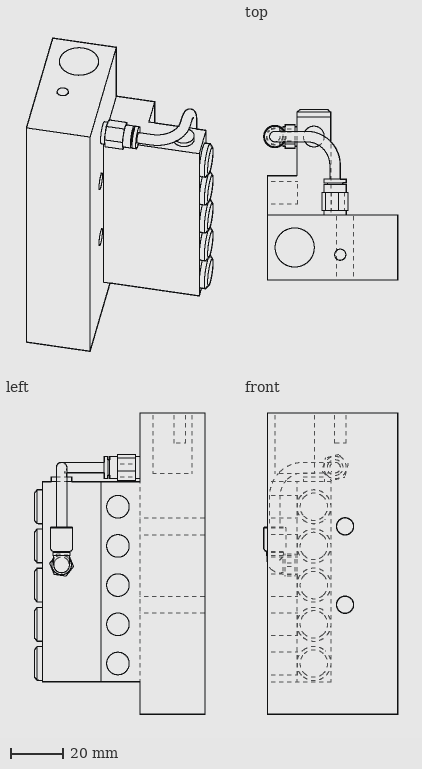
import cadquery as cq
import math

block_width = 50.0
block_depth = 25.0
block_height = 115.5

body_bottom = 12.5
body_top = 89.2
body_height = body_top - body_bottom
step_back = 40.0
body_back = 62.4
rear_left = 11.3
rear_width = 13.0
rear_right = rear_left + rear_width
rear_center = rear_left + rear_width / 2

station_count = 5
station_pitch = 15.0
first_station = 19.5
port_diameter = 8.7
port_depth = 11.5
port_y = 33.4
cap_diameter = rear_width
cap_height = 3.0
cap_face_diameter = 10.5
cap_bevel_height = 1.0

main_port_diameter = 15.0
main_port_depth = 23.1
main_port_x = 10.5
main_port_y = block_depth / 2
pilot_diameter = 4.3
pilot_depth = 11.5
pilot_x = 28.0
pilot_y = 9.7
mount_diameter = 6.5
mount_x = 29.8
mount_low_z = 42.0
mount_pitch = 30.0

tube_diameter = 4.0
bend_radius = 11.0
between_bends = 1.2
tube_x = 26.0
tube_y = 55.0
tube_z = 94.6
drop_x = tube_x - 2 * bend_radius - between_bends
elbow_z = 57.3

straight_diameter = 8.5
groove_diameter = 6.0
nut_start = 1.6
nut_end = 8.7
groove_start = 11.7
groove_end = 12.2
straight_length = 13.7
nut_across_corners = 10.4
nut_angle = 15.0

sleeve_diameter = 8.5
sleeve_top = 71.8
sleeve_bottom = 62.5
sleeve_top_chamfer = 0.3
relief_height = 0.3
neck_diameter = 6.5
neck_height = 1.2
elbow_diameter = 6.0
elbow_bend_radius = 1.8
collar_diameter = 7.5
collar_left = 6.0
elbow_nut_left = 6.8
elbow_nut_right = 10.6
elbow_nut_across_flats = 8.0
elbow_nut_across_corners = elbow_nut_across_flats / math.cos(math.radians(30))
elbow_nut_angle = 8.0

plug_diameter = 8.0
plug_height = 1.8

embed = 0.6

ALONG_X = cq.Vector(1, 0, 0)
ALONG_Y = cq.Vector(0, 1, 0)
ALONG_Z = cq.Vector(0, 0, 1)


def rod(diameter, start, direction, length):
    """Round bar from a start point along a direction."""
    return cq.Workplane(cq.Solid.makeCylinder(diameter / 2, length, cq.Vector(*start), direction))


def hex_bar(across_corners, start, direction, corner_direction, length):
    """Hexagonal bar with one corner pointing along corner_direction."""
    plane = cq.Plane(origin=start, xDir=corner_direction, normal=direction)
    return cq.Workplane(plane).polygon(6, across_corners).extrude(length)


def make_bodies():
    block = cq.Workplane().box(block_width, block_depth, block_height, centered=False)
    outline = [
        (0, block_depth - embed),
        (rear_right, block_depth - embed),
        (rear_right, body_back),
        (rear_left, body_back),
        (rear_left, step_back),
        (0, step_back),
    ]
    body = cq.Workplane().workplane(offset=body_bottom).polyline(outline).close().extrude(body_height)
    return block.union(body)


def make_cap(z):
    bevel_start = body_back + cap_height - cap_bevel_height
    base = rod(cap_diameter, (rear_center, body_back - embed, z), ALONG_Y, bevel_start - body_back + embed)
    bevel = cq.Solid.makeCone(
        cap_diameter / 2,
        cap_face_diameter / 2,
        cap_bevel_height,
        cq.Vector(rear_center, bevel_start, z),
        ALONG_Y,
    )
    return base.union(cq.Workplane(bevel))


def make_straight_fitting():
    def section(diameter, start, end):
        return rod(diameter, (tube_x, block_depth + start, tube_z), ALONG_Y, end - start)

    angle = math.radians(nut_angle)
    nut = hex_bar(
        nut_across_corners,
        (tube_x, block_depth + nut_start, tube_z),
        ALONG_Y,
        (math.cos(angle), 0, math.sin(angle)),
        nut_end - nut_start,
    )
    core = section(groove_diameter, -embed, straight_length)
    inner = section(straight_diameter, -embed, groove_start)
    outer = section(straight_diameter, groove_end, straight_length)
    return core.union(inner).union(outer).union(nut)


def make_tube():
    start_y = block_depth + straight_length - embed
    first_bend_x = tube_x - bend_radius
    second_bend_x = drop_x + bend_radius
    diagonal = bend_radius * math.sqrt(0.5)
    points = {
        "start": (tube_x, start_y, tube_z),
        "turn_left": (tube_x, tube_y - bend_radius, tube_z),
        "left_mid": (first_bend_x + diagonal, tube_y - bend_radius + diagonal, tube_z),
        "left_end": (first_bend_x, tube_y, tube_z),
        "turn_down": (second_bend_x, tube_y, tube_z),
        "down_mid": (second_bend_x - diagonal, tube_y, tube_z - bend_radius + diagonal),
        "down_end": (drop_x, tube_y, tube_z - bend_radius),
        "end": (drop_x, tube_y, sleeve_top - embed),
    }
    p = {name: cq.Vector(*xyz) for name, xyz in points.items()}
    path = cq.Wire.assembleEdges([
        cq.Edge.makeLine(p["start"], p["turn_left"]),
        cq.Edge.makeThreePointArc(p["turn_left"], p["left_mid"], p["left_end"]),
        cq.Edge.makeLine(p["left_end"], p["turn_down"]),
        cq.Edge.makeThreePointArc(p["turn_down"], p["down_mid"], p["down_end"]),
        cq.Edge.makeLine(p["down_end"], p["end"]),
    ])
    profile = cq.Workplane("XZ", origin=points["start"]).circle(tube_diameter / 2)
    return profile.sweep(cq.Workplane(path))


def make_elbow_fitting():
    sleeve_r = sleeve_diameter / 2
    neck_r = neck_diameter / 2
    pipe_r = elbow_diameter / 2
    bend_top = elbow_z + elbow_bend_radius
    neck_top = sleeve_bottom - relief_height
    neck_bottom = neck_top - neck_height
    rounding = sleeve_r - pipe_r
    inset = rounding * (1 - math.sqrt(0.5))
    upright = (
        cq.Workplane("XZ", origin=(drop_x, tube_y, 0))
        .moveTo(0, bend_top)
        .lineTo(pipe_r, bend_top)
        .lineTo(pipe_r, neck_bottom)
        .lineTo(neck_r, neck_bottom)
        .lineTo(neck_r, neck_top)
        .lineTo(pipe_r, neck_top)
        .lineTo(pipe_r, sleeve_bottom)
        .threePointArc((sleeve_r - inset, sleeve_bottom + inset), (sleeve_r, sleeve_bottom + rounding))
        .lineTo(sleeve_r, sleeve_top - sleeve_top_chamfer)
        .lineTo(sleeve_r - sleeve_top_chamfer, sleeve_top)
        .lineTo(0, sleeve_top)
        .close()
        .revolve(360, (0, 0), (0, 1))
    )

    axis_half_height = math.sqrt(pipe_r**2 - elbow_bend_radius**2)
    bend_x = drop_x + elbow_bend_radius
    bend = (
        cq.Workplane("XY", origin=(bend_x, tube_y, bend_top))
        .moveTo(0, axis_half_height)
        .threePointArc((-elbow_bend_radius - pipe_r, 0), (0, -axis_half_height))
        .close()
        .revolve(90, (0, 0), (0, -1))
    )
    arm = rod(elbow_diameter, (bend_x, tube_y, elbow_z), ALONG_X, rear_left + embed - bend_x)
    collar = rod(collar_diameter, (collar_left, tube_y, elbow_z), ALONG_X, rear_left + embed - collar_left)
    angle = math.radians(elbow_nut_angle)
    nut = hex_bar(
        elbow_nut_across_corners,
        (elbow_nut_left, tube_y, elbow_z),
        ALONG_X,
        (0, math.cos(angle), math.sin(angle)),
        elbow_nut_right - elbow_nut_left,
    )
    return upright.union(bend).union(arm).union(collar).union(nut)


result = make_bodies()

result = result.cut(
    rod(main_port_diameter, (main_port_x, main_port_y, block_height), -ALONG_Z, main_port_depth)
)
result = result.cut(rod(pilot_diameter, (pilot_x, pilot_y, block_height), -ALONG_Z, pilot_depth))
for row in range(2):
    mount_z = mount_low_z + row * mount_pitch
    result = result.cut(rod(mount_diameter, (mount_x, 0, mount_z), ALONG_Y, block_depth))

for station in range(station_count):
    station_z = first_station + station * station_pitch
    result = result.cut(rod(port_diameter, (0, port_y, station_z), ALONG_X, port_depth))
    result = result.union(make_cap(station_z))

plug_start = (rear_center, tube_y, body_top - embed)
result = result.union(rod(plug_diameter, plug_start, ALONG_Z, plug_height + embed))
result = result.union(make_straight_fitting())
result = result.union(make_elbow_fitting())
result = result.union(make_tube())